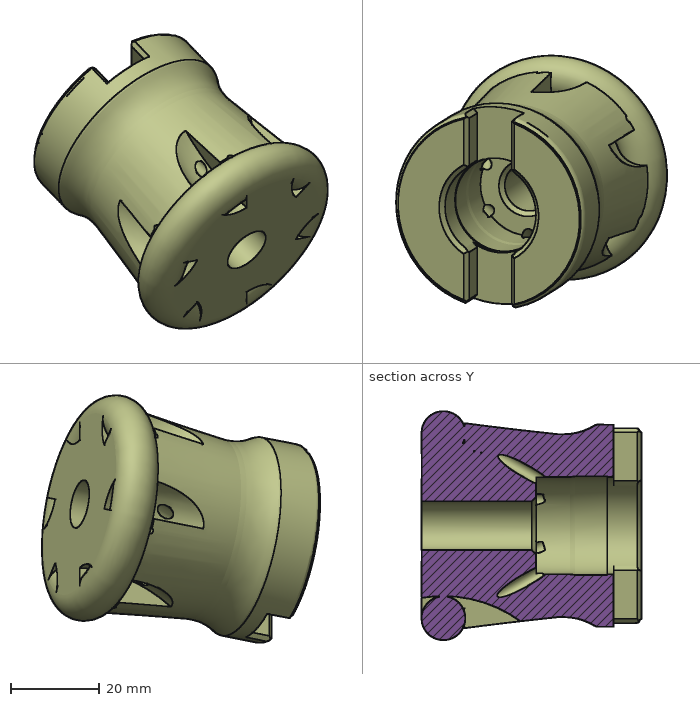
import cadquery as cq
import math

length = 49.95
outer_radius = 26.0

bead_radius = 5.0
bead_center_radius = outer_radius - bead_radius
bead_center_x = length - bead_radius

hub_radius = 23.0
lip_face_radius = 22.0
lip_radius = 22.2
lip_width = 0.4
hub_round_end_x = 1.4
hub_end_x = 10.1
shoulder_drop = 0.15
shoulder_end_x = 10.55
waist_radius = 20.8
waist_start_x = 17.65
waist_end_x = 19.05
flare_radius = 23.35
flare_end_x = 40.65
flare_sag = 0.08

bore_radius = 11.0
bore_depth = 23.9
bore_chamfer = 1.05
relief_radius = 11.2
relief_start_x = 7.8
relief_end_x = 15.1
relief_runout = 1.15
through_radius = 5.5
through_chamfer = 1.05

slot_width = 10.3
slot_depth = 6.35
slot_chamfer = 1.0

pocket_count = 6
pocket_angle = 360 / pocket_count
pocket_floor_radius = 16.0
pocket_sweep_radius = 29.65
pocket_corner_radius = 9.35
pocket_center_x = bead_center_x

seat_start_x = 40.2
seat_width = 2.35
seat_overlap = 0.5
seat_floor_radius = 18.7
seat_relief_radius = 0.75
seat_relief_x = 40.5
seat_relief_offset = 2.8

coolant_radius = 1.35
coolant_inner = cq.Vector(bore_depth, 0.5, 10.95)
coolant_outer = cq.Vector(35.85, -2.1, 17.8)
coolant_overrun = 1.55

axis_start = (0, 0, 0)
axis_end = (1, 0, 0)


def arc_mid_offset(run, rise):
    """Offset of an arc's midpoint from the end where the arc runs parallel to X."""
    radius = (run**2 + rise**2) / (2 * rise)
    half_angle = math.atan2(rise, run)
    return radius * math.sin(half_angle), radius * (1 - math.cos(half_angle))


def make_body():
    """Waisted body of revolution, before the pockets are cut."""
    round_dx, round_dr = arc_mid_offset(hub_round_end_x - lip_width, hub_radius - lip_radius)
    round_mid = (hub_round_end_x - round_dx, hub_radius - round_dr)
    shoulder_radius = hub_radius - shoulder_drop
    neck_dx, neck_dr = arc_mid_offset(waist_start_x - shoulder_end_x, shoulder_radius - waist_radius)
    neck_mid = (waist_start_x - neck_dx, waist_radius + neck_dr)
    flare_mid = ((waist_end_x + flare_end_x) / 2, (waist_radius + flare_radius) / 2 - flare_sag)
    return (
        cq.Workplane("XY")
        .moveTo(0, 0)
        .lineTo(0, lip_face_radius)
        .lineTo(lip_width, lip_radius)
        .threePointArc(round_mid, (hub_round_end_x, hub_radius))
        .lineTo(hub_end_x, hub_radius)
        .lineTo(shoulder_end_x, shoulder_radius)
        .threePointArc(neck_mid, (waist_start_x, waist_radius))
        .lineTo(waist_end_x, waist_radius)
        .threePointArc(flare_mid, (flare_end_x, flare_radius))
        .lineTo(bead_center_x, flare_radius)
        .lineTo(bead_center_x, bead_center_radius)
        .lineTo(length, bead_center_radius)
        .lineTo(length, 0)
        .close()
        .revolve(360, axis_start, axis_end)
    )


def make_bead():
    """Round ring forming the largest diameter."""
    return (
        cq.Workplane("XY")
        .center(bead_center_x, bead_center_radius)
        .circle(bead_radius)
        .revolve(360, (0, -bead_center_radius, 0), (1, -bead_center_radius, 0))
    )


def make_bore():
    """Stepped bore with a shallow relief band and chamfered mouths."""
    return (
        cq.Workplane("XY")
        .moveTo(0, 0)
        .lineTo(0, bore_radius + bore_chamfer)
        .lineTo(bore_chamfer, bore_radius)
        .lineTo(relief_start_x, bore_radius)
        .lineTo(relief_start_x, relief_radius)
        .lineTo(relief_end_x, relief_radius)
        .lineTo(relief_end_x + relief_runout, bore_radius)
        .lineTo(bore_depth, bore_radius)
        .lineTo(bore_depth, through_radius + through_chamfer)
        .lineTo(bore_depth + through_chamfer, through_radius)
        .lineTo(length, through_radius)
        .lineTo(length, 0)
        .close()
        .revolve(360, axis_start, axis_end)
    )


def make_slot():
    """Drive slot running along Z, with chamfered mouth edges."""
    half = slot_width / 2
    return (
        cq.Workplane("XY")
        .polyline([
            (0, -half - slot_chamfer),
            (slot_chamfer, -half),
            (slot_depth, -half),
            (slot_depth, half),
            (slot_chamfer, half),
            (0, half + slot_chamfer),
        ])
        .close()
        .extrude(outer_radius, both=True)
    )


def make_corner_bevel(radius, outward):
    """Bar bevelling a slot edge at 45 degrees; outward is +1 on the rim, -1 on the bore."""
    half = slot_width / 2
    far_half = half + slot_chamfer
    far_height = math.sqrt(radius**2 - far_half**2)
    return (
        cq.Workplane("YZ")
        .polyline([
            (far_half, far_height),
            (half, far_height - outward * slot_chamfer),
            (half, far_height + outward * slot_chamfer),
            (far_half, far_height + outward * slot_chamfer),
        ])
        .close()
        .extrude(slot_depth)
    )


def at_slot_edges(bevel):
    """The four mirror images of a bevel about the slot's symmetry planes."""
    pair = [bevel, bevel.mirror("XZ")]
    return pair + [side.mirror("XY") for side in pair]


def make_pocket():
    """Chip pocket at the top: flat wall on Y = 0, curved floor on the -Y side."""
    center_z = pocket_floor_radius + pocket_sweep_radius
    corner_shift = pocket_corner_radius * math.sqrt(0.5)
    flat_radius = pocket_sweep_radius - pocket_corner_radius
    corner_mid = (-corner_shift, -flat_radius - corner_shift)
    return (
        cq.Workplane("YZ", origin=(pocket_center_x, 0, center_z))
        .moveTo(0, 0)
        .lineTo(0, -pocket_sweep_radius)
        .threePointArc(corner_mid, (-pocket_corner_radius, -flat_radius))
        .lineTo(-pocket_corner_radius, 0)
        .close()
        .revolve(360, (0, 0, 0), (1, 0, 0))
    )


def make_seat():
    """Narrow insert seat behind the pocket wall, with a round relief at its corner."""
    height = outer_radius - seat_floor_radius
    seat = (
        cq.Workplane("XY", origin=(seat_start_x, -seat_overlap, seat_floor_radius))
        .box(bead_center_x - seat_start_x, seat_width + seat_overlap, height, centered=False)
    )
    relief = (
        cq.Workplane("XY", origin=(seat_relief_x, seat_relief_offset, seat_floor_radius))
        .circle(seat_relief_radius)
        .extrude(height)
    )
    return seat.union(relief)


def make_coolant_hole():
    """Slanted hole joining the bore corner to the pocket floor."""
    direction = (coolant_outer - coolant_inner).normalized()
    reach = (coolant_outer - coolant_inner).Length + 2 * coolant_overrun
    start = coolant_inner - direction * coolant_overrun
    return cq.Workplane(cq.Solid.makeCylinder(coolant_radius, reach, start, direction))


def around_axis(feature):
    """Copies of a feature spaced evenly about the X axis."""
    return [feature.rotate(axis_start, axis_end, i * pocket_angle) for i in range(pocket_count)]


result = make_body()
for cutter in around_axis(make_pocket().union(make_seat())):
    result = result.cut(cutter)
result = result.union(make_bead())
result = result.cut(make_bore()).cut(make_slot())
rim_bevels = at_slot_edges(make_corner_bevel(hub_radius, 1))
bore_bevels = at_slot_edges(make_corner_bevel(bore_radius, -1))
for cutter in rim_bevels + bore_bevels:
    result = result.cut(cutter)
for cutter in around_axis(make_coolant_hole()):
    result = result.cut(cutter)